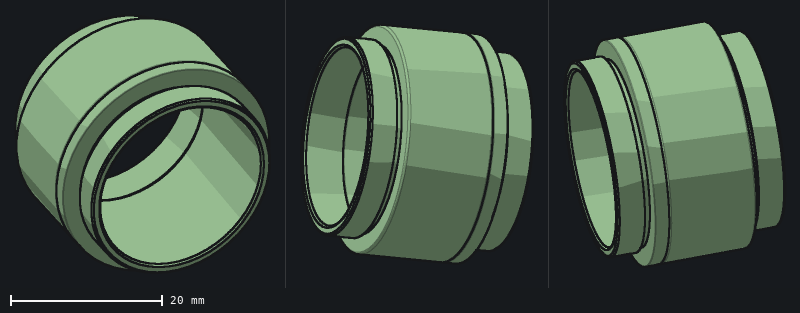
import cadquery as cq

overall_length = 23.0
outer_radius = 15.25

nose_radius = 13.18
nose_length = 3.7
neck_radius = 12.65
bore_radius = 11.83
nose_chamfer = 0.25
bore_chamfer = 0.3

shoulder_depth = 4.5
collar_end = 16.53
collar_fillet = 0.3
flange_fillet = 0.1

socket_floor = 5.5
socket_radius = 13.18
sleeve_mouth_fillet = 0.18

flange_end = overall_length - shoulder_depth


def disc(start, end, radius):
    """Solid cylinder on the X axis between two X positions."""
    return cq.Workplane("YZ", origin=(start, 0, 0)).circle(radius).extrude(end - start)


def nose(start, end, outer_face):
    """Nose disc with its outer rim chamfered."""
    return disc(start, end, nose_radius).faces(outer_face).chamfer(nose_chamfer)


def bore_cutter(start, end, mouth_face):
    """Bore from start to end, widened by a cone at its mouth face."""
    bore = disc(start, end, bore_radius)
    mouth_radius = bore_radius + bore_chamfer
    flare = disc(start, end, mouth_radius).faces(mouth_face).workplane(invert=True)
    cone = flare.circle(mouth_radius).workplane(offset=bore_chamfer).circle(bore_radius)
    return bore.union(cone.loft(ruled=True, combine=False))


def make_socket():
    """Left body: nose, neck and collar, with a socket open toward +X."""
    collar = disc(shoulder_depth, collar_end, outer_radius).edges().fillet(collar_fillet)
    neck = disc(nose_length, shoulder_depth, neck_radius)
    body = collar.union(neck).union(nose(0, nose_length, "<X"))
    body = body.cut(bore_cutter(0, collar_end, "<X"))
    return body.cut(disc(socket_floor, collar_end, socket_radius))


def make_spigot():
    """Right body: sleeve that fits the socket, then flange, neck and nose."""
    nose_start = overall_length - nose_length
    sleeve = disc(socket_floor, collar_end, socket_radius)
    flange = disc(collar_end, flange_end, outer_radius).edges().fillet(flange_fillet)
    neck = disc(flange_end, nose_start, neck_radius)
    body = sleeve.union(flange).union(neck).union(nose(nose_start, overall_length, ">X"))
    body = body.cut(bore_cutter(socket_floor, overall_length, ">X"))
    sleeve_mouth = body.faces("<X").wires(cq.selectors.RadiusNthSelector(0))
    return sleeve_mouth.fillet(sleeve_mouth_fillet)


socket = make_socket()
spigot = make_spigot()
result = cq.Compound.makeCompound([socket.val(), spigot.val()])